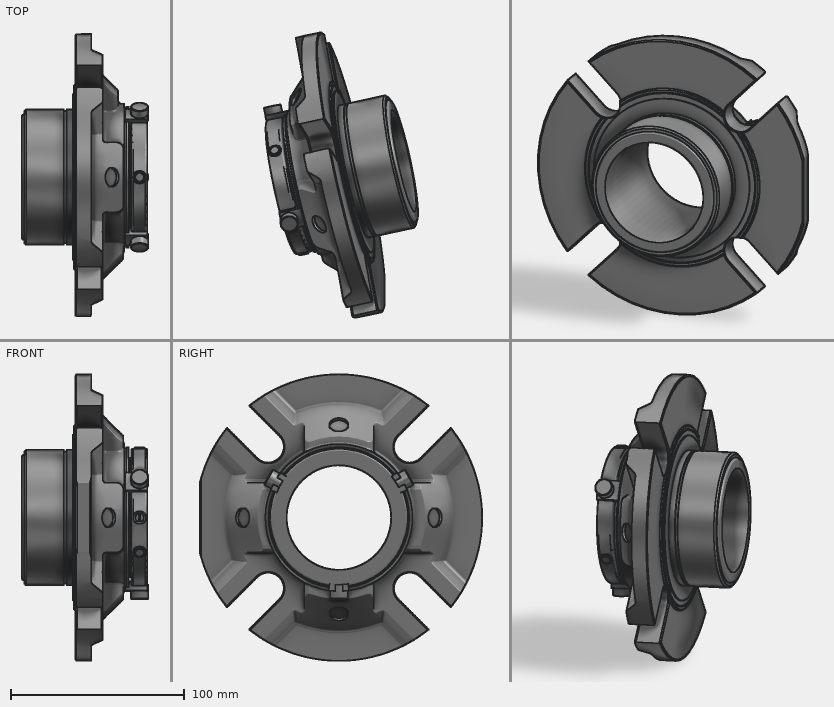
import cadquery as cq
import math


BORE_D = 59.99
SLEEVE_D = 78.05
SLEEVE_TIP_D = 72.26
SLEEVE_GROOVE_D = 76.3
SLEEVE_NECK_D = 63.48
TIP_LENGTH = 1.5
TIP_FILLET = 1.4
SLEEVE_CHAMFER = 1.1
GROOVE_START = 24.2
GROOVE_END = 25.8

FLANGE_R = 82.425
FLANGE_FRONT = 30.9
FLANGE_BACK = 40.0
FLAT_OFFSET = 80.0
EDGE_CHAMFER_AXIAL = 0.9
EDGE_CHAMFER_RADIAL = 0.5
FLAT_BACK_CHAMFER = 0.9

SPIGOT_D = 95.25
SPIGOT_FRONT = 29.4
SHOULDER_FRONT = 30.0
SHOULDER_R = 53.5
SHOULDER_CHAMFER = 0.8
SHOULDER_GROOVE_R = 50.7
SHOULDER_GROOVE_WIDTH = 0.5

SLOT_ANGLES = (45, 135, 225, 315)
SLOT_WIDTH = 18.0
SLOT_CENTRE_R = 57.5
PAD_BACK = 46.5
PAD_TOP_HALF_WIDTH = 19.3
PAD_FOOT_HALF_WIDTH = 25.1
PAD_FILLET = 2.0
FOOT_FILLET = 3.0

HUB_R = 42.3
HUB_END = 58.9
CONE_ANGLE = 45
CONE_R_AT_PAD = 58.8
LOBE_HALF_WIDTH = 20.0
LOBE_END = 58.5
SHORT_LOBE_END = 55.4
SHORT_LOBE_ANGLE = 0
LOBE_ANGLES = (0, 90, 180, 270)
LOBE_CORNER_FILLET = 4.0
LOBE_ROOT_FILLET = 2.2
BARREL_FILLET = 2.0
LOBE_EDGE_FILLET = 0.7
PORT_D = 11.0
PORT_X = 50.0
OFFSET_PORT_X = 51.9
OFFSET_PORT_ANGLE = 90
PORT_DEPTH = 2.0

RING_R = 40.0
RING_END = 60.2
DISC_D = 80.85
DISC_END = 61.5
DISC_HUB_D = 68.83
DISC_HUB_END = 62.0
COLLAR_D = 79.32
COLLAR_START = 63.0
COLLAR_END = 72.25
COLLAR_FILLET = 1.2

CLIP_ANGLES = (30, 150, 270)
CLIP_START = 59.5
CLIP_OUTER_R = 42.3
CLIP_INNER_R = 38.5
CLIP_TOOTH_START = 61.8
CLIP_TOOTH_INNER_R = 37.0
CLIP_HALF_ANGLE = 8.0
HEAD_D = 10.0
HEAD_TOP_R = 46.8
HEAD_CHAMFER = 0.3
SCREW_X = 67.74
SCREW_MOUTH_D = 7.6
SET_SCREW_ANGLES = (90, 210, 330)
SET_SCREW_D = 6.0
SET_SCREW_ROOT_R = 35.0
SET_SCREW_TIP_R = 40.4
SET_SCREW_CHAMFER = 0.5
SET_SCREW_SINK_DEPTH = 0.9
SLOTTED_SCREW_ANGLE = 180
SLOTTED_SCREW_D = 5.0
SLOTTED_SCREW_DEPTH = 1.3
DRIVER_SLOT_WIDTH = 1.0
DRIVER_SLOT_DEPTH = 1.0

OVERCUT = 1.0
TOLERANCE = 0.01
FOOT_LIMIT_R = 78.0


def turned(points):
    """Revolve an (x, radius) outline about the X axis."""
    return cq.Workplane("XY").polyline(points).close().revolve(360, (0, 0, 0), (1, 0, 0))


def disc(radius, start, end):
    return cq.Workplane("YZ", origin=(start, 0, 0)).circle(radius).extrude(end - start)


def at_angle(body, angle):
    """Turn a body built on the +Y side to the given angle about the X axis."""
    return body.rotate((0, 0, 0), (1, 0, 0), angle)


def radial_cylinder(diameter, inner_r, outer_r):
    """A cylinder pointing along +Y at the screw station of the collar."""
    plane = cq.Workplane("XZ", origin=(SCREW_X, inner_r, 0))
    return plane.circle(diameter / 2).extrude(inner_r - outer_r)


def x_length(edge):
    return edge.BoundingBox().xlen


def axis_distance(edge):
    middle = edge.Center()
    return math.hypot(middle.y, middle.z)


def lies_at(edge, x):
    return x_length(edge) < TOLERANCE and abs(edge.Center().x - x) < TOLERANCE


def sleeve():
    tip_r = SLEEVE_TIP_D / 2
    body_r = SLEEVE_D / 2
    tip = disc(tip_r, 0, TIP_LENGTH + OVERCUT).faces("<X").edges().fillet(TIP_FILLET)
    body = disc(body_r, TIP_LENGTH, GROOVE_START).faces("<X").edges().chamfer(SLEEVE_CHAMFER)
    groove = disc(SLEEVE_GROOVE_D / 2, GROOVE_START, GROOVE_END)
    rear = disc(body_r, GROOVE_END, FLANGE_FRONT)
    neck = disc(SLEEVE_NECK_D / 2, FLANGE_FRONT, COLLAR_START)
    return tip.union(body).union(groove).union(rear).union(neck)


def flange_plate():
    """Round plate with one flat on the -Y side and broken edges."""
    beyond_flat = (
        cq.Workplane("XY", origin=(FLANGE_FRONT, -FLAT_OFFSET, 0))
        .box(2 * FLANGE_BACK, 2 * (FLANGE_R - FLAT_OFFSET), 2 * FLANGE_R)
        .translate((0, FLAT_OFFSET - FLANGE_R, 0))
    )
    plate = disc(FLANGE_R, FLANGE_FRONT, FLANGE_BACK).cut(beyond_flat)
    front_edges = plate.faces("<X").edges().vals()
    plate = cq.Workplane(plate.val().chamfer(EDGE_CHAMFER_RADIAL, EDGE_CHAMFER_AXIAL, front_edges))
    return plate.faces("<Y").edges(">X").chamfer(FLAT_BACK_CHAMFER)


def pad():
    """Thick pad with sloping sides, running outward from the hub along +Y."""
    outline = [
        (0, -PAD_FOOT_HALF_WIDTH),
        (0, PAD_FOOT_HALF_WIDTH),
        (PAD_BACK - FLANGE_BACK, PAD_TOP_HALF_WIDTH),
        (PAD_BACK - FLANGE_BACK, -PAD_TOP_HALF_WIDTH),
    ]
    plane = cq.Plane(origin=(FLANGE_BACK, 0, 0), xDir=(1, 0, 0), normal=(0, 1, 0))
    bar = cq.Workplane(plane).polyline(outline).close().extrude(FLANGE_R + OVERCUT)
    return bar.intersect(disc(FLANGE_R, FLANGE_BACK, PAD_BACK))


def cone_radius(x):
    return CONE_R_AT_PAD - (x - PAD_BACK) / math.tan(math.radians(CONE_ANGLE))


def lobe_slab(end):
    """Slab on the +Y side that bounds one lobe, with rounded rear corners."""
    return (
        cq.Workplane("XY", origin=(FLANGE_BACK, 0, 0))
        .box(end - FLANGE_BACK, FLANGE_R, 2 * LOBE_HALF_WIDTH, centered=(False, False, True))
        .faces(">X")
        .edges("|Y")
        .fillet(LOBE_CORNER_FILLET)
    )


def hub_core():
    """One cone, full round beside the pads and cut down to the lobes behind them."""
    cone = turned(
        [
            (FLANGE_BACK, 0),
            (FLANGE_BACK, cone_radius(FLANGE_BACK)),
            (LOBE_END, cone_radius(LOBE_END)),
            (LOBE_END, 0),
        ]
    )
    envelope = disc(FLANGE_R, FLANGE_BACK, PAD_BACK)
    for angle in LOBE_ANGLES:
        end = SHORT_LOBE_END if angle == SHORT_LOBE_ANGLE else LOBE_END
        envelope = envelope.union(at_angle(lobe_slab(end), angle))
    return cone.intersect(envelope)


def is_pad_corner(edge):
    """Corner between a pad side and the cone."""
    spans_pad = abs(x_length(edge) - (PAD_BACK - FLANGE_BACK)) < TOLERANCE
    return spans_pad and HUB_R < axis_distance(edge) < FOOT_LIMIT_R


def is_barrel_corner(edge):
    """Corner between a lobe side and the hub barrel."""
    middle = edge.positionAt(0.5)
    between_lobes = min(abs(middle.y), abs(middle.z)) > LOBE_HALF_WIDTH / 2
    on_barrel = abs(math.hypot(middle.y, middle.z) - HUB_R) < TOLERANCE
    return edge.geomType() == "LINE" and on_barrel and between_lobes


def is_lobe_root(edge):
    """Corner between a lobe side and the back of the pads."""
    middle = edge.positionAt(0.5)
    beside_lobe = abs(min(abs(middle.y), abs(middle.z)) - LOBE_HALF_WIDTH) < TOLERANCE
    return edge.geomType() == "LINE" and lies_at(edge, PAD_BACK) and beside_lobe


def is_lobe_edge(edge):
    """Outer edge between a lobe side and its cone."""
    middle = edge.positionAt(0.5)
    on_cone = abs(math.hypot(middle.y, middle.z) - cone_radius(middle.x)) < TOLERANCE
    return on_cone and middle.x > PAD_BACK and x_length(edge) > LOBE_EDGE_FILLET


def is_foot_edge(edge):
    """Corner where the cone and the pad sides rise from the flange."""
    return lies_at(edge, FLANGE_BACK) and axis_distance(edge) < FOOT_LIMIT_R


def hub():
    body = hub_core()
    for angle in SLOT_ANGLES:
        body = body.union(at_angle(pad(), angle))
    body = body.union(disc(HUB_R, FLANGE_BACK, HUB_END))
    body = body.edges().filter(is_pad_corner).fillet(PAD_FILLET)
    body = body.edges().filter(is_barrel_corner).fillet(BARREL_FILLET)
    body = body.edges().filter(is_lobe_root).fillet(LOBE_ROOT_FILLET)
    return body.edges().filter(is_lobe_edge).fillet(LOBE_EDGE_FILLET)


def port(x):
    """Blind port drilled square to the cone of the +Y lobe."""
    slope = math.radians(CONE_ANGLE)
    outward = (math.sin(slope), math.cos(slope), 0)
    plane = cq.Plane(origin=(x, cone_radius(x), 0), xDir=(0, 0, 1), normal=outward)
    return cq.Workplane(plane).workplane(offset=-PORT_DEPTH).circle(PORT_D / 2).extrude(2 * PORT_D)


def slot_profile(x, normal_sign, half_width):
    """Open-ended slot outline along +Y in a plane square to the X axis."""
    plane = cq.Plane(origin=(x, 0, 0), xDir=(0, 1, 0), normal=(normal_sign, 0, 0))
    return (
        cq.Workplane(plane)
        .moveTo(FLANGE_R + 2 * OVERCUT, half_width)
        .lineTo(SLOT_CENTRE_R, half_width)
        .threePointArc((SLOT_CENTRE_R - half_width, 0), (SLOT_CENTRE_R, -half_width))
        .lineTo(FLANGE_R + 2 * OVERCUT, -half_width)
        .close()
    )


def slot():
    depth = PAD_BACK - SPIGOT_FRONT + 2 * OVERCUT
    return slot_profile(SPIGOT_FRONT - OVERCUT, 1, SLOT_WIDTH / 2).extrude(depth)


def slot_chamfers():
    """Tapered cutters that break the slot edges on the front and back faces."""
    half_width = SLOT_WIDTH / 2 + EDGE_CHAMFER_RADIAL
    taper = math.degrees(math.atan(EDGE_CHAMFER_RADIAL / EDGE_CHAMFER_AXIAL))
    front = slot_profile(FLANGE_FRONT, 1, half_width).extrude(EDGE_CHAMFER_AXIAL, taper=taper)
    back = slot_profile(PAD_BACK, -1, half_width).extrude(EDGE_CHAMFER_AXIAL, taper=taper)
    return front.union(back)


def spigot():
    shoulder = disc(SHOULDER_R, SHOULDER_FRONT, FLANGE_FRONT)
    shoulder = shoulder.faces("<X").edges().chamfer(SHOULDER_CHAMFER)
    groove = disc(SHOULDER_GROOVE_R + SHOULDER_GROOVE_WIDTH, SHOULDER_FRONT, FLANGE_FRONT)
    groove = groove.cut(disc(SHOULDER_GROOVE_R, SHOULDER_FRONT, FLANGE_FRONT))
    return shoulder.cut(groove).union(disc(SPIGOT_D / 2, SPIGOT_FRONT, FLANGE_FRONT))


def gland():
    body = flange_plate().union(hub())
    body = body.edges().filter(is_foot_edge).fillet(FOOT_FILLET)
    for angle in LOBE_ANGLES:
        port_x = OFFSET_PORT_X if angle == OFFSET_PORT_ANGLE else PORT_X
        body = body.cut(at_angle(port(port_x), angle))
    for angle in SLOT_ANGLES:
        body = body.cut(at_angle(slot_chamfers(), angle))
    body = body.union(spigot())
    for angle in SLOT_ANGLES:
        body = body.cut(at_angle(slot(), angle))
    return body


def seal_ring_and_disc():
    ring = disc(RING_R, HUB_END, RING_END)
    plate = disc(DISC_D / 2, RING_END, DISC_END)
    plate_hub = disc(DISC_HUB_D / 2, DISC_END, DISC_HUB_END)
    return ring.union(plate).union(plate_hub)


def sector(inner_r, outer_r, start, end):
    """Arc-shaped block centred on +Y, with radial sides."""
    half = math.radians(CLIP_HALF_ANGLE)
    reach = outer_r / math.cos(half) + OVERCUT
    tip = (reach * math.cos(half), reach * math.sin(half))
    wedge = (
        cq.Workplane("YZ", origin=(start, 0, 0))
        .polyline([(0, 0), tip, (tip[0], -tip[1])])
        .close()
        .extrude(end - start)
    )
    return wedge.intersect(disc(outer_r, start, end).cut(disc(inner_r, start, end)))


def clip():
    bridge = sector(CLIP_INNER_R, CLIP_OUTER_R, CLIP_START, COLLAR_END)
    tooth = sector(CLIP_TOOTH_INNER_R, CLIP_OUTER_R, CLIP_TOOTH_START, COLLAR_START)
    head = radial_cylinder(HEAD_D, CLIP_INNER_R, HEAD_TOP_R)
    head = head.faces(">Y").edges().chamfer(HEAD_CHAMFER)
    return bridge.union(tooth).union(head)


def screw_sink(bottom_d, depth):
    """Conical sink in the collar rim around a screw on the +Y side."""
    return (
        cq.Workplane("XZ", origin=(SCREW_X, COLLAR_D / 2, 0))
        .circle(SCREW_MOUTH_D / 2)
        .workplane(offset=depth)
        .circle(bottom_d / 2)
        .loft()
    )


def set_screw():
    screw = radial_cylinder(SET_SCREW_D, SET_SCREW_ROOT_R, SET_SCREW_TIP_R)
    return screw.faces(">Y").edges().chamfer(SET_SCREW_CHAMFER)


def driver_slot():
    """Driver slot across the face of the sunk screw on the +Y side."""
    face_r = COLLAR_D / 2 - SLOTTED_SCREW_DEPTH
    face = radial_cylinder(SLOTTED_SCREW_D, face_r - DRIVER_SLOT_DEPTH, face_r)
    blade = cq.Workplane("XY", origin=(SCREW_X, face_r, 0))
    return face.intersect(blade.box(DRIVER_SLOT_WIDTH, SLOTTED_SCREW_D, SLOTTED_SCREW_D))


def collar():
    body = disc(COLLAR_D / 2, COLLAR_START, COLLAR_END).edges().fillet(COLLAR_FILLET)
    for angle in CLIP_ANGLES:
        body = body.union(at_angle(clip(), angle))
    for angle in SET_SCREW_ANGLES:
        body = body.cut(at_angle(screw_sink(SET_SCREW_D, SET_SCREW_SINK_DEPTH), angle))
        body = body.union(at_angle(set_screw(), angle))
    body = body.cut(at_angle(screw_sink(SLOTTED_SCREW_D, SLOTTED_SCREW_DEPTH), SLOTTED_SCREW_ANGLE))
    return body.cut(at_angle(driver_slot(), SLOTTED_SCREW_ANGLE))


bore = disc(BORE_D / 2, -OVERCUT, COLLAR_END + OVERCUT)
result = gland().union(sleeve()).union(seal_ring_and_disc()).union(collar()).cut(bore)